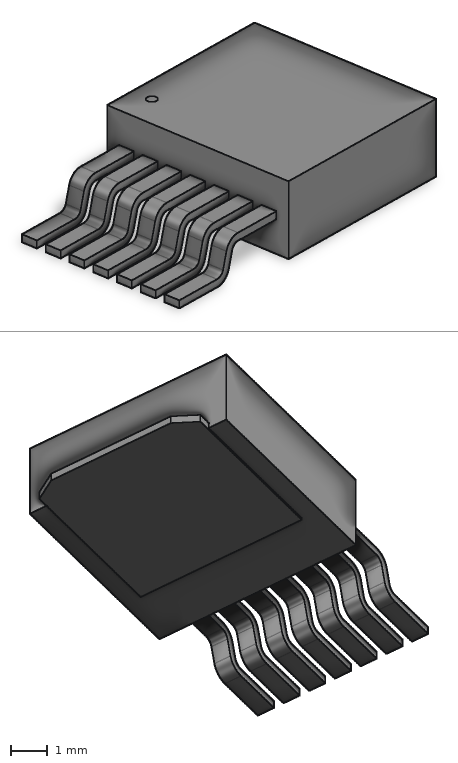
import cadquery as cq
import math


HOUSING_WIDTH = 6.5
HOUSING_LENGTH = 6.1
HOUSING_HEIGHT = 2.41

TOTAL_LENGTH = 10.91
TAB_WIDTH = 5.33
TAB_THICKNESS = 0.25
TAB_DROP = 0.05
TAB_FRONT_Y = 1.71
TAB_OVERHANG = 0.8
TAB_CORNER_X = 0.69
TAB_CORNER_Y = 0.41

LEAD_COUNT = 7
LEAD_PITCH = 0.85
LEAD_WIDTH = 0.53
LEAD_THICKNESS = 0.25
LEAD_TOP_Z = 1.33
LEAD_SHOULDER = 1.58
LEAD_SLOPE = math.radians(75)
BEND_INNER_RADIUS = 0.25

MARKER_DIAMETER = 0.33
MARKER_DEPTH = 0.05
MARKER_Y = 1.05

TAB_BACK_Y = HOUSING_LENGTH + TAB_OVERHANG
LEAD_REACH = TOTAL_LENGTH - TAB_BACK_Y
FIRST_LEAD_X = -LEAD_PITCH * (LEAD_COUNT - 1) / 2


def make_tab():
    """Flat plate with its two rear corners cut off."""
    half_width = TAB_WIDTH / 2
    return (
        cq.Workplane("XY", origin=(0, 0, -TAB_DROP))
        .moveTo(-half_width, TAB_FRONT_Y)
        .lineTo(half_width, TAB_FRONT_Y)
        .lineTo(half_width, TAB_BACK_Y - TAB_CORNER_Y)
        .lineTo(half_width - TAB_CORNER_X, TAB_BACK_Y)
        .lineTo(-half_width + TAB_CORNER_X, TAB_BACK_Y)
        .lineTo(-half_width, TAB_BACK_Y - TAB_CORNER_Y)
        .close()
        .extrude(TAB_THICKNESS)
    )


def make_marker():
    """Thin disc in line with the first lead."""
    return (
        cq.Workplane("XY", origin=(FIRST_LEAD_X, MARKER_Y, HOUSING_HEIGHT - MARKER_DEPTH))
        .circle(MARKER_DIAMETER / 2)
        .extrude(MARKER_DEPTH)
    )


def make_housing(tab, marker):
    """Plain block with matching recesses for the tab and the marker."""
    block = cq.Workplane("XY").box(
        HOUSING_WIDTH, HOUSING_LENGTH, HOUSING_HEIGHT, centered=(True, False, False)
    )
    return block.cut(tab).cut(marker)


def make_lead(center_x):
    """Strip that leaves the housing level, bends down a steep slope and ends in a level foot."""
    inner = BEND_INNER_RADIUS
    outer = BEND_INNER_RADIUS + LEAD_THICKNESS

    drop = LEAD_TOP_Z - LEAD_THICKNESS
    slope_drop = drop - (inner + outer) * (1 - math.cos(LEAD_SLOPE))
    slope_run = slope_drop / math.tan(LEAD_SLOPE)
    bend_run = (inner + outer) * math.sin(LEAD_SLOPE)

    upper_center = (-LEAD_SHOULDER, LEAD_TOP_Z - outer)
    lower_center = (-LEAD_SHOULDER - bend_run - slope_run, outer)

    def on_upper_bend(radius, angle):
        y, z = upper_center
        return (y - radius * math.sin(angle), z + radius * math.cos(angle))

    def on_lower_bend(radius, angle):
        y, z = lower_center
        return (y + radius * math.sin(angle), z - radius * math.cos(angle))

    half_slope = LEAD_SLOPE / 2
    return (
        cq.Workplane("YZ", origin=(center_x - LEAD_WIDTH / 2, 0, 0))
        .moveTo(0, LEAD_TOP_Z)
        .lineTo(*on_upper_bend(outer, 0))
        .threePointArc(on_upper_bend(outer, half_slope), on_upper_bend(outer, LEAD_SLOPE))
        .lineTo(*on_lower_bend(inner, LEAD_SLOPE))
        .threePointArc(on_lower_bend(inner, half_slope), on_lower_bend(inner, 0))
        .lineTo(-LEAD_REACH, LEAD_THICKNESS)
        .lineTo(-LEAD_REACH, 0)
        .lineTo(*on_lower_bend(outer, 0))
        .threePointArc(on_lower_bend(outer, half_slope), on_lower_bend(outer, LEAD_SLOPE))
        .lineTo(*on_upper_bend(inner, LEAD_SLOPE))
        .threePointArc(on_upper_bend(inner, half_slope), on_upper_bend(inner, 0))
        .lineTo(0, LEAD_TOP_Z - LEAD_THICKNESS)
        .close()
        .extrude(LEAD_WIDTH)
    )


tab = make_tab()
marker = make_marker()
housing = make_housing(tab, marker)
leads = [make_lead(FIRST_LEAD_X + index * LEAD_PITCH) for index in range(LEAD_COUNT)]

result = cq.Compound.makeCompound(
    [housing.val(), tab.val(), marker.val(), *[lead.val() for lead in leads]]
)